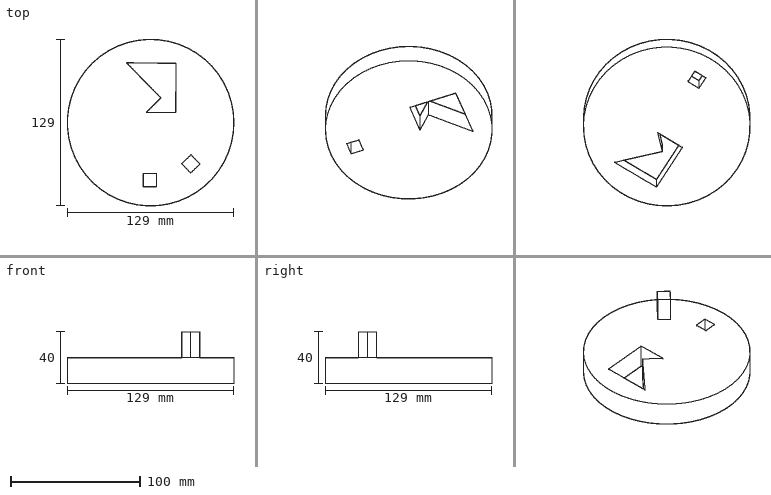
import cadquery as cq

disc_diameter = 129.0
disc_thickness = 20.0

square_side = 10.0
post_height = 20.0
post_center = (31.1, -31.9)
post_turn = 44.0

square_hole_center = (-0.6, -44.5)

opening_top_left = (-18.5, 46.2)
opening_top_right = (19.6, 45.8)
opening_bottom_right = (19.3, 8.0)
opening_bottom_left = (-3.2, 8.0)
opening_notch = (8.0, 19.1)


def make_disc():
    return cq.Workplane("XY").circle(disc_diameter / 2).extrude(disc_thickness)


def make_post():
    post = cq.Workplane("XY").rect(square_side, square_side).extrude(disc_thickness + post_height)
    return post.rotate((0, 0, 0), (0, 0, 1), post_turn).translate((*post_center, 0))


def make_square_hole():
    hole = cq.Workplane("XY").rect(square_side, square_side).extrude(disc_thickness)
    return hole.translate((*square_hole_center, 0))


def make_opening():
    corners = [
        opening_top_left,
        opening_top_right,
        opening_bottom_right,
        opening_bottom_left,
        opening_notch,
    ]
    return cq.Workplane("XY").polyline(corners).close().extrude(disc_thickness)


result = make_disc().union(make_post()).cut(make_square_hole()).cut(make_opening())